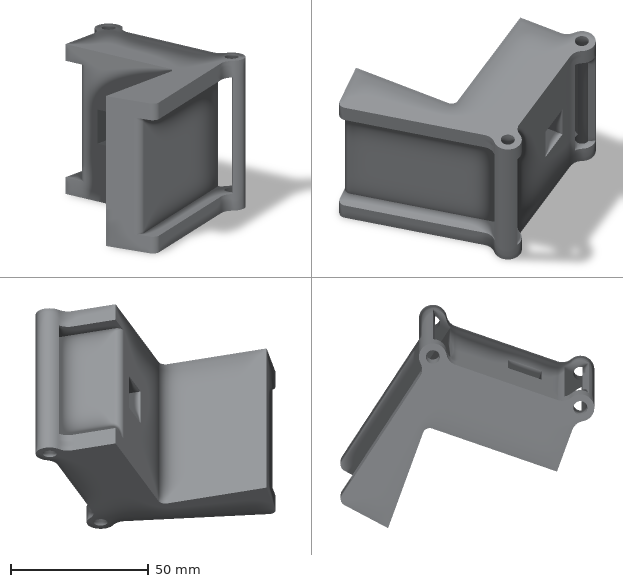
import cadquery as cq
import math

HEIGHT = 57.15
PLATE_THICKNESS = 6.35
CHANNEL_WIDTH = 6.35
PIN_SPACING = 57.0
PIN_DIAMETER = 5.08
BOSS_RADIUS = PIN_DIAMETER
CORNER_RADIUS = 2.54
GUARD_BACK_LEAN = 35.0

BODY_DEPTH = 25.4
LEG_INNER_X = 50.8
LEG_END_Y = -66.04
LEG_SLANT = 12.92
LEG_END_ANGLE = 9.0

WINDOW_SIZE = 13.0
WINDOW_CENTER_X = 21.4

LEFT_PIN = (0.0, 0.0)
RIGHT_PIN = (PIN_SPACING, 0.0)
NECK_ANGLE = 30.0
LEFT_EDGE_ANGLE = 270.0
LEG_EDGE_ANGLE = 270.0 + LEG_SLANT
LEFT_BACK_ANGLE = 0.0
RIGHT_BACK_ANGLE = 180.0
LEFT_OUTWARD_ANGLE = 135.0
RIGHT_OUTWARD_ANGLE = 45.0
MID_HEIGHT = HEIGHT - 2 * PLATE_THICKNESS
LARGE = 4 * PIN_SPACING


def polar(origin, radius, degrees):
    """Point at a radius and angle from an origin."""
    angle = math.radians(degrees)
    return (origin[0] + radius * math.cos(angle), origin[1] + radius * math.sin(angle))


def neck_points(pin, edge_angle, side):
    """Boss, middle and edge points of the concave arc joining a boss to a body edge.

    The edge runs through the pin axis; side is +1 when the arc lies counterclockwise of it.
    """
    tangent_angle = edge_angle + side * NECK_ANGLE
    arc_center = polar(pin, 2 * BOSS_RADIUS, tangent_angle)
    boss_point = polar(pin, BOSS_RADIUS, tangent_angle)
    middle = polar(arc_center, -BOSS_RADIUS, edge_angle + side * 2 * NECK_ANGLE)
    edge_point = polar(pin, 2 * BOSS_RADIUS * math.cos(math.radians(NECK_ANGLE)), edge_angle)
    return boss_point, middle, edge_point


def leg_corner(edge_top_x):
    """Sharp outer corner of the leg for a slanted edge that crosses the pin line at edge_top_x."""
    slant = math.tan(math.radians(LEG_SLANT))
    rise = math.tan(math.radians(LEG_END_ANGLE))
    y = (LEG_END_Y + rise * (edge_top_x - LEG_INNER_X)) / (1 + rise * slant)
    return (edge_top_x - slant * y, y)


def round_corner(solid, corner):
    """Round the vertical edge standing on an XY corner."""
    probe = cq.selectors.NearestToPointSelector((corner[0], corner[1], HEIGHT / 2))
    return solid.edges("|Z").edges(probe).fillet(CORNER_RADIUS)


def make_full_body():
    """Complete outline with both bosses, over the whole height."""
    left_boss, left_mid, left_edge = neck_points(LEFT_PIN, LEFT_EDGE_ANGLE, -1)
    left_back_boss, left_back_mid, left_back_edge = neck_points(LEFT_PIN, LEFT_BACK_ANGLE, 1)
    right_back_boss, right_back_mid, right_back_edge = neck_points(RIGHT_PIN, RIGHT_BACK_ANGLE, -1)
    leg_boss, leg_mid, leg_edge = neck_points(RIGHT_PIN, LEG_EDGE_ANGLE, 1)
    inside_corner = (LEG_INNER_X, -BODY_DEPTH)
    tip = leg_corner(PIN_SPACING)

    body = (
        cq.Workplane("XY")
        .moveTo(0, -BODY_DEPTH)
        .lineTo(*inside_corner)
        .lineTo(LEG_INNER_X, LEG_END_Y)
        .lineTo(*tip)
        .lineTo(*leg_edge)
        .threePointArc(leg_mid, leg_boss)
        .threePointArc(polar(RIGHT_PIN, BOSS_RADIUS, RIGHT_OUTWARD_ANGLE), right_back_boss)
        .threePointArc(right_back_mid, right_back_edge)
        .lineTo(*left_back_edge)
        .threePointArc(left_back_mid, left_back_boss)
        .threePointArc(polar(LEFT_PIN, BOSS_RADIUS, LEFT_OUTWARD_ANGLE), left_boss)
        .threePointArc(left_mid, left_edge)
        .close()
        .extrude(HEIGHT)
    )
    body = round_corner(body, inside_corner)
    return round_corner(body, tip)


def make_core_region():
    """Region kept between the end plates, set in from both outer side edges."""
    core_edge_x = PIN_SPACING - CHANNEL_WIDTH / math.cos(math.radians(LEG_SLANT))
    tip = leg_corner(core_edge_x)
    front_corner = (CHANNEL_WIDTH, -BODY_DEPTH)
    inside_corner = (LEG_INNER_X, -BODY_DEPTH)
    back_y = 2 * BOSS_RADIUS
    back_x = core_edge_x - back_y * math.tan(math.radians(LEG_SLANT))
    outline = [front_corner, inside_corner, (LEG_INNER_X, LEG_END_Y), tip, (back_x, back_y),
               (CHANNEL_WIDTH, back_y)]
    core = cq.Workplane("XY").polyline(outline).close().extrude(HEIGHT)
    for corner in (front_corner, inside_corner, tip):
        core = round_corner(core, corner)
    return core


def make_guard_region(pin, front_angle, side):
    """Wedge around the part of a boss kept between the end plates as a partial sleeve.

    Its front end is radial; its back end slants outwards from the back of the pin bore.
    side is -1 for a guard left of its pin and +1 for one right of it.
    """
    reach = 3 * BOSS_RADIUS
    back_direction = 90 - side * GUARD_BACK_LEAN
    bore_back = polar(pin, PIN_DIAMETER / 2, 90)
    corners = [
        pin,
        polar(pin, reach, front_angle),
        polar(pin, reach, (front_angle + back_direction) / 2),
        polar(bore_back, reach, back_direction),
        polar(bore_back, -PIN_DIAMETER / 4, back_direction),
    ]
    return cq.Workplane("XY").polyline(corners).close().extrude(HEIGHT)


def make_channels():
    """Space removed between the end plates: everything but the core and the guards."""
    slab = (
        cq.Workplane("XY")
        .workplane(offset=PLATE_THICKNESS)
        .rect(LARGE, LARGE)
        .extrude(MID_HEIGHT)
    )
    left_guard = make_guard_region(LEFT_PIN, LEFT_EDGE_ANGLE - NECK_ANGLE, -1)
    right_guard = make_guard_region(RIGHT_PIN, LEG_EDGE_ANGLE + NECK_ANGLE - 360, 1)
    return slab.cut(make_core_region()).cut(left_guard).cut(right_guard)


def make_pin_holes():
    """Pin bores through both bosses over the whole height."""
    return (
        cq.Workplane("XY")
        .pushPoints([LEFT_PIN, RIGHT_PIN])
        .circle(PIN_DIAMETER / 2)
        .extrude(HEIGHT)
    )


def make_window():
    """Square opening through the wall along Y, at mid height."""
    return (
        cq.Workplane("XY")
        .box(WINDOW_SIZE, LARGE, WINDOW_SIZE)
        .translate((WINDOW_CENTER_X, 0, HEIGHT / 2))
    )


result = (
    make_full_body()
    .cut(make_channels())
    .cut(make_pin_holes())
    .cut(make_window())
)